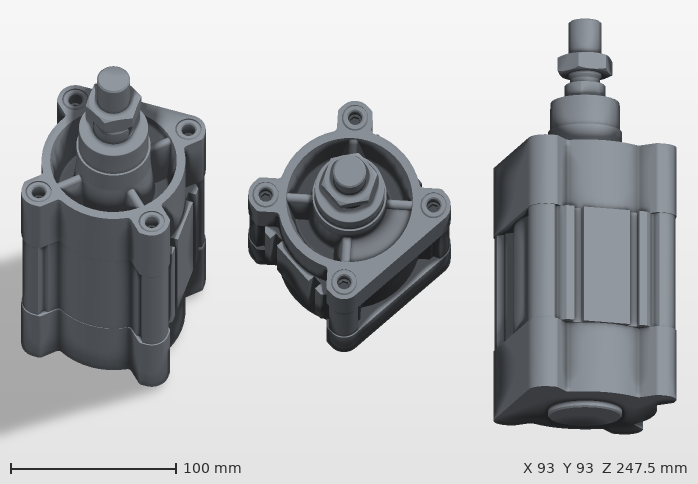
import cadquery as cq
import math

total_length = 247.5
foot_height = 4.0
cap_height = 43.3
barrel_length = 71.5
collar_height = 15.8
nose_height = 18.5
barrel_bottom = foot_height + cap_height
barrel_top = barrel_bottom + barrel_length
cap_top = barrel_top + cap_height
collar_top = cap_top + collar_height
nose_top = collar_top + nose_height

cap_width = 93.0
barrel_width = 91.5
bolt_spacing = 72.0
cap_radius = 43.5
barrel_radius = 43.3
cap_lug_radius = (cap_width - bolt_spacing) / 2
barrel_lug_radius = (barrel_width - bolt_spacing) / 2
cap_root_fillet = 2.5
barrel_root_fillet = 1.7
lug_end_fillet = 2.5

channel_edge = 33.2
channel_foot = 31.0
channel_depth = 4.0
channel_fillet = 1.0
rail_half_width = 25.5
slot_inner = 14.5
slot_outer = 20.5
slot_depth = 4.7

collar_diameter = 45.0
foot_chamfer = 1.0
nose_base_radius = 21.3
nose_top_radius = 21.0
nose_fillet = 0.5

pocket_outer_radius = 38.5
outer_wall_slope = 0.17
core_wall_slope = 0.09
pocket_depth = 29.7
shallow_pocket_depth = 5.5
pocket_fillet = 1.5
rib_crest_drop = 2.0
rib_half_width = 2.7
rib_edge_radius = 2.5
rib_side_slope = 0.2

bolt_diameter = 15.8
bolt_chamfer = 1.0
thread_mouth_diameter = 10.2
thread_diameter = 8.5
thread_depth = 10.0
hex_socket_flats = 5.5
hex_socket_depth = 5.0

rod_diameter = 25.0
rod_flats = 22.0
rod_flats_bottom = nose_top + 1.0
rod_shoulder = 207.7
rod_chamfer = 0.7
neck_diameter = 18.3
neck_top = 210.5
groove_diameter = 17.8
groove_root = 211.2
thread_start = 213.2
rod_thread_diameter = 20.0
thread_chamfer = 1.0
nut_bottom = 214.7
nut_height = 10.5
nut_flats = 30.0
nut_bevel = 1.0


def cylinder(diameter, bottom, top):
    return cq.Workplane().circle(diameter / 2).extrude(top - bottom).translate((0, 0, bottom))


def turn(shape, quarter):
    """Turn a shape about Z by a number of quarter turns."""
    return shape.rotate((0, 0, 0), (0, 0, 1), 90 * quarter)


def fillet_upright_edges(solid, corners, z, radius):
    """Fillet the upright edges that pass through the given (x, y) corners."""
    for x, y in corners:
        solid = solid.edges(cq.selectors.NearestToPointSelector((x, y, z))).fillet(radius)
    return solid


def lug_root(radius, lug_radius):
    """Point on the -Y side where the lug at +X, -Y runs into the round body."""
    along = math.sqrt(radius**2 - lug_radius**2)
    return (along - lug_radius) / math.sqrt(2), -(along + lug_radius) / math.sqrt(2)


def lug_face_offset(lug_radius):
    """Distance from the axis, along Y, at which the 45 degree faces of two lugs would meet."""
    return lug_radius * math.sqrt(2)


def notch_between_lugs(edge, radius, lug_radius, height):
    """Upright prism on the -Y side outside the round body; edge is its outline at the +X lug."""
    outline = edge + [(0, -lug_face_offset(lug_radius))] + [(-x, y) for x, y in reversed(edge)]
    round_body = cq.Workplane().circle(radius).extrude(height)
    return cq.Workplane().polyline(outline).close().extrude(height).cut(round_body)


def cap(bottom):
    """End cap: round body with four corner lugs, and a full flat face on +Y."""
    half = cap_width / 2
    solid = cq.Workplane().rect(cap_width, cap_width).extrude(cap_height)
    solid = solid.edges("|Z").fillet(cap_lug_radius)
    root_x, root_y = lug_root(cap_radius, cap_lug_radius)
    lug_end = half - lug_face_offset(cap_lug_radius)
    notch = notch_between_lugs([(lug_end, -half)], cap_radius, cap_lug_radius, cap_height)
    for quarter in (-1, 0, 1):
        solid = solid.cut(turn(notch, quarter))
    roots = [(root_x, root_y), (-root_x, root_y)]
    roots += [(s * root_y, t * root_x) for s in (-1, 1) for t in (-1, 1)]
    ends = [(lug_end, -half), (-lug_end, -half)]
    ends += [(s * half, t * lug_end) for s in (-1, 1) for t in (-1, 1)]
    solid = fillet_upright_edges(solid, roots, cap_height / 2, cap_root_fillet)
    solid = fillet_upright_edges(solid, ends, cap_height / 2, lug_end_fillet)
    return solid.translate((0, 0, bottom))


def barrel():
    """Profile tube: round body, corner lugs with channels, and a slotted rail on -X and +X."""
    half = barrel_width / 2
    solid = cq.Workplane().rect(barrel_width, barrel_width).extrude(barrel_length)
    solid = solid.edges("|Z").fillet(barrel_lug_radius)
    floor = channel_depth - half
    root_x, root_y = lug_root(barrel_radius, barrel_lug_radius)
    wall = [(channel_edge, -half), (channel_foot, floor)]

    crest = -floor - lug_face_offset(barrel_lug_radius)
    plain_notch = notch_between_lugs(wall + [(crest, floor)], barrel_radius, barrel_lug_radius, barrel_length)
    for quarter in (0, 2):
        solid = solid.cut(turn(plain_notch, quarter))

    rail_foot = rail_half_width + channel_depth
    rail_side = wall + [(rail_foot, floor), (rail_half_width, -half)]
    slot = (
        cq.Workplane().rect(slot_outer - slot_inner, 2 * slot_depth).extrude(barrel_length)
        .translate(((slot_inner + slot_outer) / 2, -half, 0))
    )
    groove = cq.Workplane().polyline(rail_side).close().extrude(barrel_length).union(slot)
    grooves = groove.union(groove.mirror("YZ"))
    for quarter in (-1, 1):
        solid = solid.cut(turn(grooves, quarter))

    roots = [(s * root_x, t * root_y) for s in (-1, 1) for t in (-1, 1)]
    solid = fillet_upright_edges(solid, roots, barrel_length / 2, barrel_root_fillet)
    creases = [(s * x, t * floor) for x in (channel_foot, crest) for s in (-1, 1) for t in (-1, 1)]
    creases += [(s * floor, t * y) for y in (channel_foot, rail_foot) for s in (-1, 1) for t in (-1, 1)]
    solid = fillet_upright_edges(solid, creases, barrel_length / 2, channel_fillet)
    return solid.translate((0, 0, barrel_bottom))


def collar():
    """Collar and tapered nose that guide the rod."""
    nose = (
        cq.Workplane("XZ")
        .polyline([(0, collar_top), (nose_base_radius, collar_top), (nose_top_radius, nose_top), (0, nose_top)])
        .close().revolve(360, (0, 0), (0, 1))
        .faces(">Z").edges().fillet(nose_fillet)
    )
    return cylinder(collar_diameter, cap_top, collar_top).union(nose)


def foot():
    """Centring spigot below the lower cap."""
    return cylinder(collar_diameter, 0, foot_height).faces("<Z").edges().chamfer(foot_chamfer)


def rib():
    """Drafted rib with rounded crest edges, running along X across the pocket."""
    crest = cap_top - rib_crest_drop
    shoulder = crest - rib_edge_radius
    floor = cap_top - pocket_depth
    foot_half_width = rib_half_width + (shoulder - floor) * rib_side_slope
    flat_half_width = rib_half_width - rib_edge_radius
    arc_rise = rib_edge_radius / math.sqrt(2)
    arc_reach = flat_half_width + arc_rise
    return (
        cq.Workplane("YZ")
        .moveTo(-foot_half_width, floor)
        .lineTo(-rib_half_width, shoulder)
        .threePointArc((-arc_reach, shoulder + arc_rise), (-flat_half_width, crest))
        .lineTo(flat_half_width, crest)
        .threePointArc((arc_reach, shoulder + arc_rise), (rib_half_width, shoulder))
        .lineTo(foot_half_width, floor)
        .close().extrude(pocket_outer_radius, both=True)
    )


def arcs_at(z):
    """Selector for the circular edges in the plane at height z."""
    margin = 0.02
    reach = cap_width
    return cq.selectors.BoxSelector((-reach, -reach, z - margin), (reach, reach, z + margin))


def drafted_disc(top_radius, slope):
    """Round block from the pocket floor to the cap top, changing radius with depth."""
    floor = cap_top - pocket_depth
    profile = [(0, floor), (top_radius + pocket_depth * slope, floor), (top_radius, cap_top), (0, cap_top)]
    return cq.Workplane("XZ").polyline(profile).close().revolve(360, (0, 0), (0, 1))


def cut_ring_pocket(solid):
    """Cut the drafted ring pocket with its ribs, and raise the floor of the +Y quarter."""
    floor = cap_top - pocket_depth
    shallow_floor = cap_top - shallow_pocket_depth
    ring = drafted_disc(pocket_outer_radius, -outer_wall_slope)
    ring = ring.cut(drafted_disc(collar_diameter / 2, core_wall_slope))
    solid = solid.cut(ring.faces("<Z").edges().fillet(pocket_fillet))
    reach = pocket_outer_radius / math.sqrt(2)
    raised_floor = (
        cq.Workplane().lineTo(reach, reach).threePointArc((0, pocket_outer_radius), (-reach, reach)).close()
        .extrude(shallow_floor - floor).translate((0, 0, floor))
    )
    solid = solid.union(raised_floor)
    for angle in (45, 135):
        solid = solid.union(rib().rotate((0, 0, 0), (0, 0, 1), angle))
    return solid.edges(arcs_at(shallow_floor)).edges("%CIRCLE").fillet(pocket_fillet)


def bolt_recess():
    """Cut around and into a bolt head: bevel gap, thread with wide mouth, and hex socket."""
    bolt_radius = bolt_diameter / 2
    gap = (
        cq.Workplane("XZ")
        .polyline([(bolt_radius - bolt_chamfer, 0), (bolt_radius, 0), (bolt_radius, -bolt_chamfer)])
        .close().revolve(360, (0, 0), (0, 1))
    )
    mouth_radius = thread_mouth_diameter / 2
    thread_radius = thread_diameter / 2
    thread = (
        cq.Workplane("XZ")
        .polyline([
            (0, 0),
            (mouth_radius, 0),
            (thread_radius, thread_radius - mouth_radius),
            (thread_radius, -thread_depth),
            (0, -thread_depth),
        ])
        .close().revolve(360, (0, 0), (0, 1))
    )
    socket = (
        cq.Workplane().polygon(6, hex_socket_flats, circumscribed=True)
        .extrude(-thread_depth - hex_socket_depth).rotate((0, 0, 0), (0, 0, 1), 30)
    )
    return gap.union(thread).union(socket)


def make_housing(rod):
    solid = cut_ring_pocket(cap(barrel_top)).union(barrel()).union(cap(foot_height))
    solid = solid.union(foot()).union(collar())
    recess = bolt_recess()
    for x in (-1, 1):
        for y in (-1, 1):
            solid = solid.cut(recess.translate((x * bolt_spacing / 2, y * bolt_spacing / 2, cap_top)))
    return solid.cut(rod)


def make_rod():
    """Piston rod: round shank with two flats on -X and +X, undercut neck and threaded end."""
    shank = cylinder(rod_diameter, barrel_top, rod_shoulder).faces(">Z").edges().chamfer(rod_chamfer)
    flats_height = rod_shoulder - rod_flats_bottom
    keep = cq.Workplane().rect(rod_flats, rod_diameter).extrude(flats_height)
    waste = cq.Workplane().rect(2 * rod_diameter, 2 * rod_diameter).extrude(flats_height).cut(keep)
    shank = shank.cut(waste.translate((0, 0, rod_flats_bottom)))
    groove_radius = groove_diameter / 2
    neck_radius = neck_diameter / 2
    thread_radius = rod_thread_diameter / 2
    tip = (
        cq.Workplane("XZ")
        .polyline([
            (0, rod_shoulder),
            (neck_radius, rod_shoulder),
            (neck_radius, neck_top),
            (groove_radius, groove_root),
            (thread_radius, thread_start),
            (thread_radius, total_length - thread_chamfer),
            (thread_radius - thread_chamfer, total_length),
            (0, total_length),
        ])
        .close().revolve(360, (0, 0), (0, 1))
    )
    return shank.union(tip)


def make_nut():
    """Hexagon nut with flats on -X and +X and both faces bevelled."""
    flat_radius = nut_flats / 2
    corner_radius = flat_radius / math.cos(math.radians(30))
    hexagon = (
        cq.Workplane().polygon(6, 2 * corner_radius).extrude(nut_height)
        .rotate((0, 0, 0), (0, 0, 1), 30)
    )
    envelope = (
        cq.Workplane("XZ")
        .polyline([
            (0, 0),
            (flat_radius, 0),
            (corner_radius, nut_bevel),
            (corner_radius, nut_height - nut_bevel),
            (flat_radius, nut_height),
            (0, nut_height),
        ])
        .close().revolve(360, (0, 0), (0, 1))
    )
    bore = cq.Workplane().circle(rod_thread_diameter / 2).extrude(nut_height)
    return hexagon.intersect(envelope).cut(bore).translate((0, 0, nut_bottom))


rod = make_rod()
housing = make_housing(rod)
nut = make_nut()

result = cq.Compound.makeCompound([housing.val(), rod.val(), nut.val()])